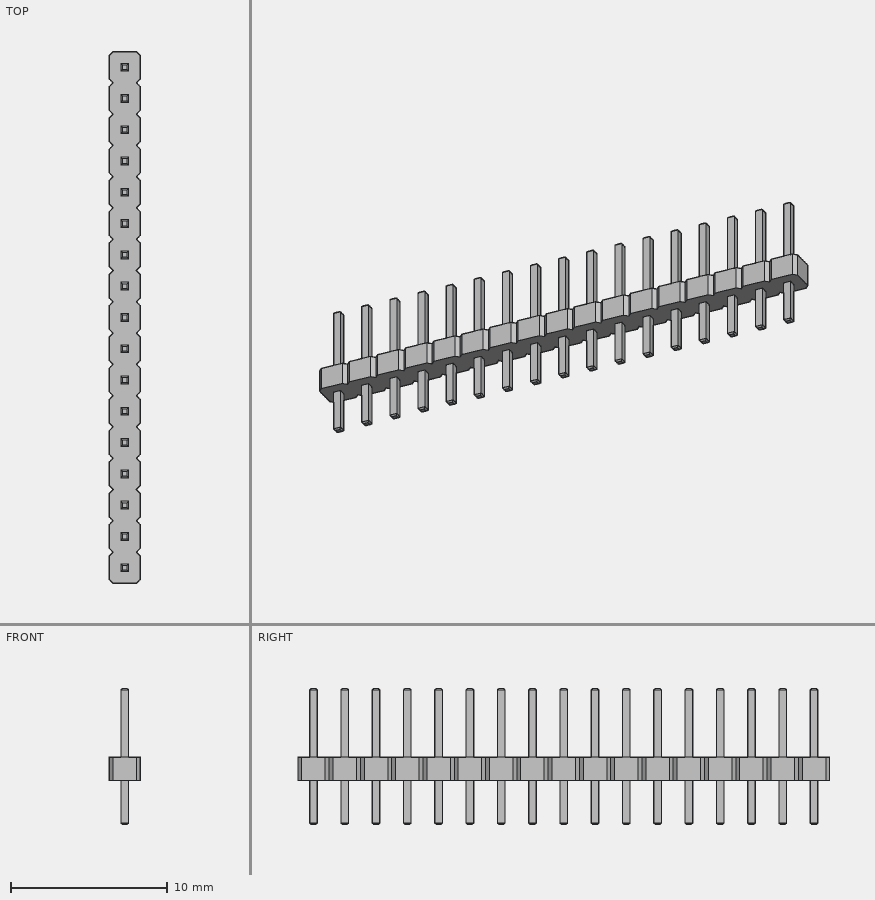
import cadquery as cq

pin_count = 17
pitch = 2.0
body_width = 2.0
body_height = 1.5
corner_chamfer = 0.25

pin_side = 0.5
pin_above_body = 4.4
pin_below_body = 2.8
pin_tip_chamfer = 0.1

pin_length = pin_below_body + body_height + pin_above_body
row_start = -pitch * (pin_count - 1) / 2
pin_positions = [(0, row_start + index * pitch) for index in range(pin_count)]


def make_body_cell():
    """One insulator cell standing on Z = 0, with chamfered vertical edges."""
    cell = cq.Workplane("XY").box(body_width, pitch, body_height, centered=(True, True, False))
    return cell.edges("|Z").chamfer(corner_chamfer)


def make_pin():
    """One square pin with both tips chamfered."""
    pin = cq.Workplane("XY").box(pin_side, pin_side, pin_length, centered=(True, True, False))
    pin = pin.faces("<Z or >Z").edges().chamfer(pin_tip_chamfer)
    return pin.translate((0, 0, -pin_below_body))


header_cell = make_body_cell().union(make_pin())
result = header_cell.translate((*pin_positions[0], 0))
for x, y in pin_positions[1:]:
    result = result.union(header_cell.translate((x, y, 0)))
result = result.clean()